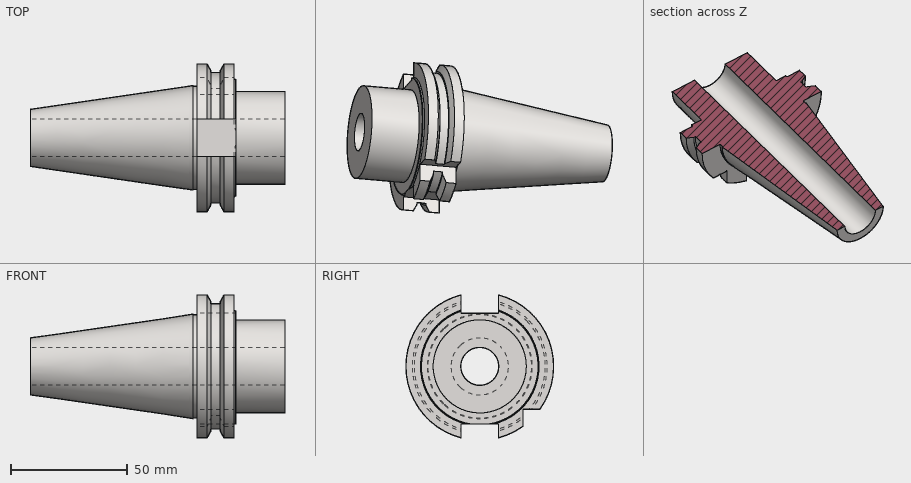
import cadquery as cq
import math

total_length = 109.3
gauge_x = 68.2
relief_x = 69.8
flange_start = 71.5
flange_end = 87.4
collar_end = 88.3
groove_start = 75.9
groove_end = 83.1
groove_floor_start = 77.5
groove_floor_end = 81.4

gauge_radius = 44.5 / 2
rim_radius = 22.5
flange_radius = 63.5 / 2
groove_floor_radius = 28.1
collar_radius = 25.0
collar_base_radius = 25.5
collar_base_length = 0.5
nose_radius = 20.0
bore_radius = 8.1

taper_slope = 7 / 24 / 2
small_radius = gauge_radius - gauge_x * taper_slope
flank_depth = (groove_floor_start - groove_start) / math.tan(math.radians(30))
flank_foot_radius = flange_radius - flank_depth

slot_width = 16.1
top_slot_floor = 22.8
bottom_slot_floor = 24.8
notch_y = 18.6
notch_z = 18.5


def turned_body():
    """Taper, grooved flange, collar and nose revolved about X."""
    profile = [
        (0, 0),
        (0, small_radius),
        (gauge_x, gauge_radius),
        (relief_x, rim_radius),
        (relief_x, gauge_radius),
        (flange_start, gauge_radius),
        (flange_start, flange_radius),
        (groove_start, flange_radius),
        (groove_floor_start, flank_foot_radius),
        (groove_floor_start, groove_floor_radius),
        (groove_floor_end, groove_floor_radius),
        (groove_floor_end, flank_foot_radius),
        (groove_end, flange_radius),
        (flange_end, flange_radius),
        (flange_end, collar_base_radius),
        (flange_end + collar_base_length, collar_radius),
        (collar_end, collar_radius),
        (collar_end, nose_radius),
        (total_length, nose_radius),
        (total_length, 0),
    ]
    return cq.Workplane("XY").polyline(profile).close().revolve(360, (0, 0, 0), (1, 0, 0))


def flange_cut(y_min, y_max, z_min, z_max):
    """Box running through the whole flange and collar along X."""
    size = (collar_end - flange_start, y_max - y_min, z_max - z_min)
    return cq.Workplane("XY").box(*size, centered=False).translate((flange_start, y_min, z_min))


bore = cq.Workplane("YZ").circle(bore_radius).extrude(total_length)
half_slot = slot_width / 2
top_slot = flange_cut(-half_slot, half_slot, top_slot_floor, flange_radius)
bottom_slot = flange_cut(-half_slot, half_slot, -flange_radius, -bottom_slot_floor)
corner_notch = flange_cut(notch_y, flange_radius, -flange_radius, -notch_z)

result = turned_body().cut(bore).cut(top_slot).cut(bottom_slot).cut(corner_notch)